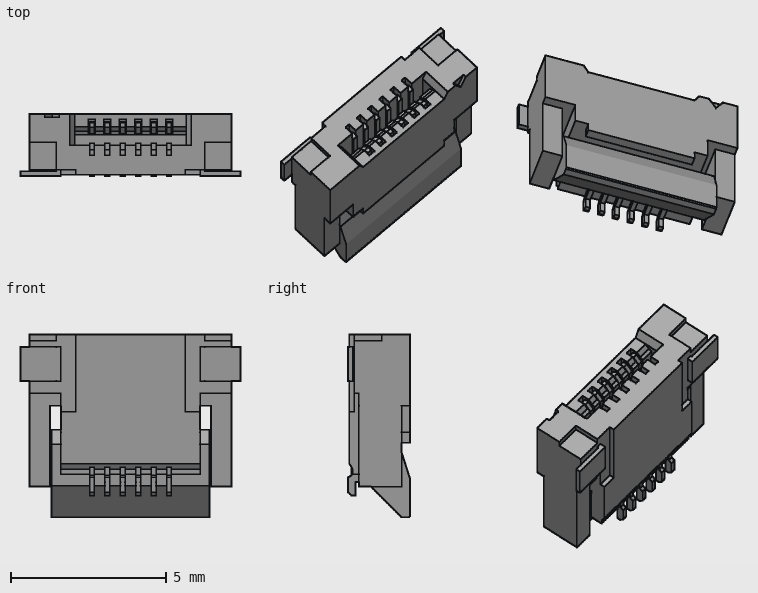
import cadquery as cq


WIDTH = 7.1
BACK_Y = 2.0
ACTUATOR_BOTTOM_Z = -5.9

BODY_HALF = 3.26
BODY_FRONT_Y = 0.2
BODY_BOTTOM_Z = -2.3
SIDE_STEP_Z = -1.9
LEG_INNER_X = 2.59
LEG_FRONT_Y = 0.355
LEG_BACK_Y = 1.73
LEG_BOTTOM_Z = -4.905

CENTER_HALF = 2.245
CENTER_FRONT_Y = 0.035
CENTER_BOTTOM_Z = -3.16
PLATE_BACK_Y = 0.575
PLATE_BOTTOM_Z = -4.51
PLATE_BEVEL_TOP_Z = -4.16
PLATE_BEVEL_BOTTOM_Z = -4.35
PLATE_LIP_Y = 0.155
REAR_SKIRT_HALF = 1.8
REAR_SKIRT_BOTTOM_Z = -3.49
PANEL_HALF = 1.76
PANEL_STEP_Z = -2.5

NOTCH_INNER_X = 2.4
NOTCH_BACK_Y = 1.085
NOTCH_DEPTH = 0.2
TAB_THICKNESS = 0.155
TAB_TOP_Z = -0.4
TAB_BOTTOM_Z = -1.505

MOUTH_TOP_HALF = 1.96
MOUTH_HALF = 1.8
MOUTH_DEPTH = 0.3
POCKET_FRONT_Y = 0.99
POCKET_BACK_Y = 1.335
POCKET_DEPTH = 2.13
LEAD_IN_BACK_Y = 1.58
LEAD_IN_BREAK_Y = 1.45
LEAD_IN_SHALLOW_DROP = 0.06

CONTACT_COUNT = 6
CONTACT_PITCH = 0.5
CONTACT_WIDTH = 0.155
REAR_SLOT_WIDTH = 0.23
REAR_SLOT_BACK_Y = 1.83
REAR_SLOT_DEPTH = 0.85
REAR_SLOT_RAMP_Y = 1.75
REAR_SLOT_RAMP_RISE = 0.035
REAR_ARM_BACK_Y = 1.71
REAR_ARM_BREAK_Y = 1.57
REAR_ARM_FRONT_Y = 1.355
REAR_ARM_TOP_Z = -0.355
FRONT_SLOT_Y = 0.675
FRONT_ARM_STEP_Y = 0.85
FRONT_ARM_BACK_Y = 1.06
FRONT_ARM_TIP_Z = -0.3
FRONT_ARM_STEP_Z = -0.4
TAIL_FACE_Y = 0.115
TAIL_BACK_Y = 0.25
TAIL_TOP_Z = -4.28
TAIL_SHOULDER_Z = -4.54
TAIL_FOOT_Z = -4.61
TAIL_UNDERSIDE_Z = -4.76
TAIL_BOTTOM_Z = -5.2
TAIL_CHAMFER = 0.115

ACTUATOR_HALF = 2.55
ACTUATOR_FRONT_Y = 0.71
ACTUATOR_FRONT_TOP_Z = -3.535
ACTUATOR_TOP_Y = 1.18
ACTUATOR_TOP_Z = -3.07
ACTUATOR_BACK_BREAK_Z = -3.8
ACTUATOR_TAIL_TOP_Z = -4.64
ACTUATOR_CHAMFER = 0.04

MARK_X = -2.53
MARK_HALF = 0.235
MARK_HEIGHT = 0.41
MARK_DEPTH = 0.11


def box(x0, x1, y0, y1, z0, z1):
    """Block between two opposite corners."""
    return cq.Workplane("XY").box(x1 - x0, y1 - y0, z1 - z0, centered=False).translate((x0, y0, z0))


def bar(profile, half_width, center_x=0.0):
    """Prism with a (y, z) outline, running along X and centred on center_x."""
    solid = cq.Workplane("YZ").polyline(profile).close().extrude(half_width, both=True)
    return solid.translate((center_x, 0, 0))


def both_sides(right_half):
    """A right-hand feature together with its mirror image on the left."""
    return right_half.union(right_half.mirror("YZ"))


def make_housing():
    body = box(-BODY_HALF, BODY_HALF, BODY_FRONT_Y, BACK_Y, BODY_BOTTOM_Z, 0)
    center = box(-CENTER_HALF, CENTER_HALF, CENTER_FRONT_Y, BACK_Y, CENTER_BOTTOM_Z, 0)
    plate = bar(
        [
            (CENTER_FRONT_Y, CENTER_BOTTOM_Z),
            (CENTER_FRONT_Y, PLATE_BEVEL_TOP_Z),
            (PLATE_LIP_Y, PLATE_BEVEL_BOTTOM_Z),
            (PLATE_LIP_Y, PLATE_BOTTOM_Z),
            (PLATE_BACK_Y, PLATE_BOTTOM_Z),
            (PLATE_BACK_Y, CENTER_BOTTOM_Z),
        ],
        CENTER_HALF,
    )
    skirt = box(-REAR_SKIRT_HALF, REAR_SKIRT_HALF, LEG_BACK_Y, BACK_Y, REAR_SKIRT_BOTTOM_Z, CENTER_BOTTOM_Z)
    leg = box(LEG_INNER_X, BODY_HALF, LEG_FRONT_Y, LEG_BACK_Y, LEG_BOTTOM_Z, BODY_BOTTOM_Z)

    side_step = box(CENTER_HALF, BODY_HALF, BODY_FRONT_Y, LEG_FRONT_Y, BODY_BOTTOM_Z, SIDE_STEP_Z)
    panel_step = box(PANEL_HALF, BODY_HALF, 0, BODY_FRONT_Y, PANEL_STEP_Z, 0)
    notch = box(NOTCH_INNER_X, BODY_HALF, BODY_FRONT_Y, NOTCH_BACK_Y, -NOTCH_DEPTH, 0)

    housing = body.union(center).union(plate).union(skirt).union(both_sides(leg))
    for pocket in (side_step, panel_step, notch):
        housing = housing.cut(both_sides(pocket))
    return housing


def make_mouth():
    """Flared recess open to the back, a two-angle lead-in and the cable pocket."""
    flare = (
        cq.Workplane("XZ")
        .polyline(
            [
                (-MOUTH_TOP_HALF, 0),
                (MOUTH_TOP_HALF, 0),
                (MOUTH_HALF, -MOUTH_DEPTH),
                (-MOUTH_HALF, -MOUTH_DEPTH),
            ]
        )
        .close()
        .extrude(-(BACK_Y - POCKET_FRONT_Y))
        .translate((0, POCKET_FRONT_Y, 0))
    )
    break_z = -MOUTH_DEPTH - (LEAD_IN_BACK_Y - LEAD_IN_BREAK_Y)
    pocket = bar(
        [
            (POCKET_FRONT_Y, -MOUTH_DEPTH),
            (LEAD_IN_BACK_Y, -MOUTH_DEPTH),
            (LEAD_IN_BREAK_Y, break_z),
            (POCKET_BACK_Y, break_z - LEAD_IN_SHALLOW_DROP),
            (POCKET_BACK_Y, -POCKET_DEPTH),
            (POCKET_FRONT_Y, -POCKET_DEPTH),
        ],
        MOUTH_HALF,
    )
    return flare.union(pocket)


def make_rear_slot(x):
    return bar(
        [
            (POCKET_BACK_Y, -MOUTH_DEPTH),
            (REAR_SLOT_BACK_Y, -MOUTH_DEPTH),
            (REAR_SLOT_BACK_Y, REAR_SLOT_RAMP_RISE - REAR_SLOT_DEPTH),
            (REAR_SLOT_RAMP_Y, -REAR_SLOT_DEPTH),
            (POCKET_BACK_Y, -REAR_SLOT_DEPTH),
        ],
        REAR_SLOT_WIDTH / 2,
        x,
    )


def make_front_slot(x):
    half = CONTACT_WIDTH / 2
    return box(x - half, x + half, FRONT_SLOT_Y, POCKET_FRONT_Y, -POCKET_DEPTH, 0)


def make_contact(x):
    """Rear arm and front arm inside the housing, and the solder tail below it."""
    rear_arm = bar(
        [
            (REAR_ARM_BACK_Y, -REAR_SLOT_DEPTH),
            (REAR_ARM_BACK_Y, REAR_ARM_TOP_Z),
            (REAR_ARM_BREAK_Y, REAR_ARM_TOP_Z),
            (REAR_ARM_FRONT_Y, REAR_ARM_TOP_Z - (REAR_ARM_BREAK_Y - REAR_ARM_FRONT_Y)),
            (REAR_ARM_FRONT_Y, -REAR_SLOT_DEPTH),
        ],
        CONTACT_WIDTH / 2,
        x,
    )
    front_arm = bar(
        [
            (FRONT_SLOT_Y, -POCKET_DEPTH),
            (FRONT_SLOT_Y, FRONT_ARM_STEP_Z),
            (FRONT_ARM_STEP_Y, FRONT_ARM_STEP_Z),
            (FRONT_ARM_STEP_Y, FRONT_ARM_TIP_Z),
            (FRONT_ARM_BACK_Y, FRONT_ARM_TIP_Z),
            (FRONT_ARM_BACK_Y, -POCKET_DEPTH),
        ],
        CONTACT_WIDTH / 2,
        x,
    )
    tail = bar(
        [
            (TAIL_FACE_Y, TAIL_TOP_Z),
            (TAIL_FACE_Y, TAIL_SHOULDER_Z),
            (0, TAIL_FOOT_Z),
            (0, TAIL_BOTTOM_Z + TAIL_CHAMFER),
            (TAIL_CHAMFER, TAIL_BOTTOM_Z),
            (TAIL_BACK_Y, TAIL_BOTTOM_Z),
            (TAIL_BACK_Y, TAIL_UNDERSIDE_Z),
            (ACTUATOR_FRONT_Y, TAIL_UNDERSIDE_Z),
            (ACTUATOR_FRONT_Y, TAIL_TOP_Z),
        ],
        CONTACT_WIDTH / 2,
        x,
    )
    return rear_arm.union(front_arm).union(tail)


def make_tabs():
    """Solder tabs flush with the mounting face, each stepping back into the housing."""
    tab = box(CENTER_HALF, WIDTH / 2, 0, TAB_THICKNESS, TAB_BOTTOM_Z, TAB_TOP_Z)
    root = box(CENTER_HALF, NOTCH_INNER_X, 0, BODY_FRONT_Y, TAB_BOTTOM_Z, TAB_TOP_Z)
    return both_sides(tab.union(root))


def make_actuator():
    underside_front_z = ACTUATOR_BOTTOM_Z + (LEG_BACK_Y - ACTUATOR_FRONT_Y)
    return bar(
        [
            (ACTUATOR_FRONT_Y, ACTUATOR_FRONT_TOP_Z),
            (ACTUATOR_TOP_Y, ACTUATOR_TOP_Z),
            (LEG_BACK_Y, ACTUATOR_BACK_BREAK_Z),
            (BACK_Y, ACTUATOR_TAIL_TOP_Z),
            (BACK_Y, ACTUATOR_BOTTOM_Z + ACTUATOR_CHAMFER),
            (BACK_Y - ACTUATOR_CHAMFER, ACTUATOR_BOTTOM_Z),
            (LEG_BACK_Y, ACTUATOR_BOTTOM_Z),
            (ACTUATOR_FRONT_Y, underside_front_z),
        ],
        ACTUATOR_HALF,
    )


def make_pin_one_mark():
    """Triangular recess in the back face, open at the top edge."""
    return (
        cq.Workplane("XZ")
        .polyline([(MARK_X - MARK_HALF, 0), (MARK_X + MARK_HALF, 0), (MARK_X, -MARK_HEIGHT)])
        .close()
        .extrude(MARK_DEPTH)
        .translate((0, BACK_Y, 0))
    )


contact_xs = [(i - (CONTACT_COUNT - 1) / 2) * CONTACT_PITCH for i in range(CONTACT_COUNT)]

result = make_housing().cut(make_mouth()).cut(make_pin_one_mark())
for contact_x in contact_xs:
    result = result.cut(make_rear_slot(contact_x)).cut(make_front_slot(contact_x))
result = result.union(make_tabs()).union(make_actuator())
for contact_x in contact_xs:
    result = result.union(make_contact(contact_x))